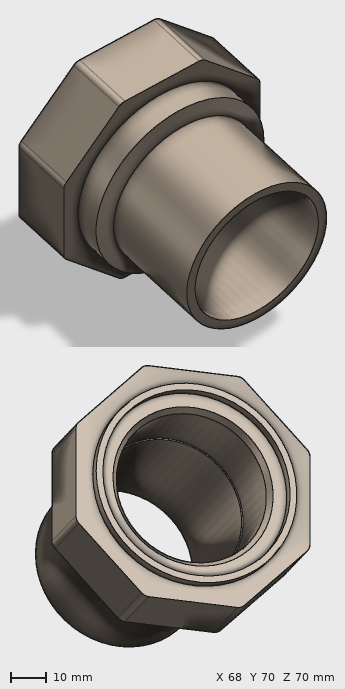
import cadquery as cq
import math

total_length = 68.0
nut_start = 3.0
nut_end = 24.0
shoulder_start = 32.35
tube_start = 34.0

collar_diameter = 60.0
tube_diameter = 50.0
nut_across_flats = 70.0
nut_sides = 8
nut_corner_radius = 3.0

recess_diameter = 56.0
recess_depth = 3.0
socket_diameter = 44.9
socket_end = 25.0
lead_in_diameter = 47.9
lead_in_length = (lead_in_diameter - socket_diameter) / 2
bore_diameter = 44.0


def revolve_about_x(profile):
    """Turn a closed (x, radius) profile about the X axis."""
    return cq.Workplane("XY").polyline(profile).close().revolve(360, (0, 0, 0), (1, 0, 0))


def make_body():
    """Solid collar that tapers at the shoulder down to the tube."""
    return revolve_about_x([
        (0, 0),
        (0, collar_diameter / 2),
        (shoulder_start, collar_diameter / 2),
        (tube_start, tube_diameter / 2),
        (total_length, tube_diameter / 2),
        (total_length, 0),
    ])


def make_nut():
    """Octagonal wrench section with flats square to Y and Z and rounded corners."""
    half_side_angle = 180 / nut_sides
    across_corners = nut_across_flats / math.cos(math.radians(half_side_angle))
    return (
        cq.Workplane("YZ", origin=(nut_start, 0, 0))
        .transformed(rotate=(0, 0, half_side_angle))
        .polygon(nut_sides, across_corners)
        .extrude(nut_end - nut_start)
        .edges("|X")
        .fillet(nut_corner_radius)
    )


def make_passage():
    """Recess, conical lead-in, socket and narrower through bore."""
    lead_in_end = recess_depth + lead_in_length
    return revolve_about_x([
        (0, 0),
        (0, recess_diameter / 2),
        (recess_depth, recess_diameter / 2),
        (recess_depth, lead_in_diameter / 2),
        (lead_in_end, socket_diameter / 2),
        (socket_end, socket_diameter / 2),
        (socket_end, bore_diameter / 2),
        (total_length, bore_diameter / 2),
        (total_length, 0),
    ])


result = make_body().union(make_nut()).cut(make_passage())